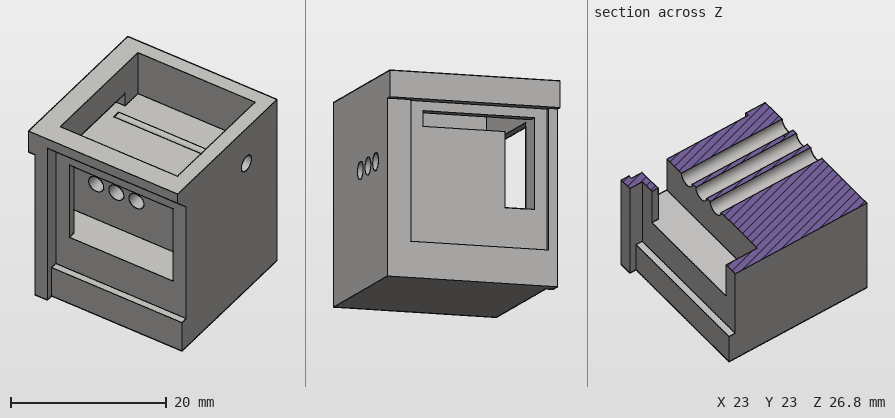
import cadquery as cq

length = 23.0
depth = 23.0
height = 26.75

step = 1.0
rim_bottom = 23.25
skirt_height = 4.73
post_end = 2.92
panel_setback = 2 * step
front_bevel_top = rim_bottom + panel_setback

recess_depth = 0.5
recess_front = 1.25
recess_back = 19.85

wall = 2.03
cavity_front = 3.0
cavity_end = length - wall
cavity_back = depth - wall
shelf_front = 6.93
shelf_top = 19.95
well_floor = 10.03
window_top = 22.02
front_window_start = 5.0
left_window_back = 18.0

hole_diameter = 2.33
shelf_hole_start = 5.83
shelf_hole_pitch = 3.1
shelf_hole_count = 3
shelf_hole_height = 15.84
axle_y = 15.92
axle_z = 20.97


def box(x_range, y_range, z_range):
    """Axis-aligned box between pairs of coordinates."""
    corner = (x_range[0], y_range[0], z_range[0])
    sizes = [end - start for start, end in (x_range, y_range, z_range)]
    return cq.Workplane("XY").box(*sizes, centered=False).translate(corner)


def make_exterior():
    """Block with an overhanging rim and a stepped front beside the corner post."""
    block = box((0, length), (0, depth), (0, height))
    under_rim = box((0, step), (0, depth), (0, rim_bottom))
    front_relief = (
        cq.Workplane("YZ", origin=(post_end, 0, 0))
        .moveTo(0, 0)
        .lineTo(step, 0)
        .lineTo(step, skirt_height)
        .lineTo(panel_setback, skirt_height)
        .lineTo(panel_setback, rim_bottom)
        .lineTo(0, front_bevel_top)
        .close()
        .extrude(length - post_end)
    )
    side_recess = box(
        (step, step + recess_depth), (recess_front, recess_back), (skirt_height, rim_bottom)
    )
    return block.cut(under_rim).cut(front_relief).cut(side_recess)


def cut_interior(body):
    """Open the top above the shelf and sink the well in front of it."""
    inner_x = (post_end, cavity_end)
    upper = box(inner_x, (cavity_front, cavity_back), (shelf_top, height))
    well = box(inner_x, (cavity_front, shelf_front), (well_floor, height))
    return body.cut(upper).cut(well)


def cut_windows(body):
    """Open the front wall into the well and the left wall with an L shape."""
    front = box((front_window_start, cavity_end), (0, shelf_front), (well_floor, window_top))
    left_upright = box((0, post_end), (cavity_front, shelf_front), (well_floor, window_top))
    left_slot = box((0, post_end), (cavity_front, left_window_back), (shelf_top, window_top))
    return body.cut(front).cut(left_upright).cut(left_slot)


def cut_holes(body):
    """Bore a row from the well through the back, and an axle hole through the right wall."""
    radius = hole_diameter / 2
    for index in range(shelf_hole_count):
        x = shelf_hole_start + index * shelf_hole_pitch
        start = cq.Vector(x, shelf_front, shelf_hole_height)
        body = body.cut(cq.Solid.makeCylinder(radius, depth - shelf_front, start, cq.Vector(0, 1, 0)))
    start = cq.Vector(post_end, axle_y, axle_z)
    return body.cut(cq.Solid.makeCylinder(radius, length - post_end, start, cq.Vector(1, 0, 0)))


result = cut_holes(cut_windows(cut_interior(make_exterior())))